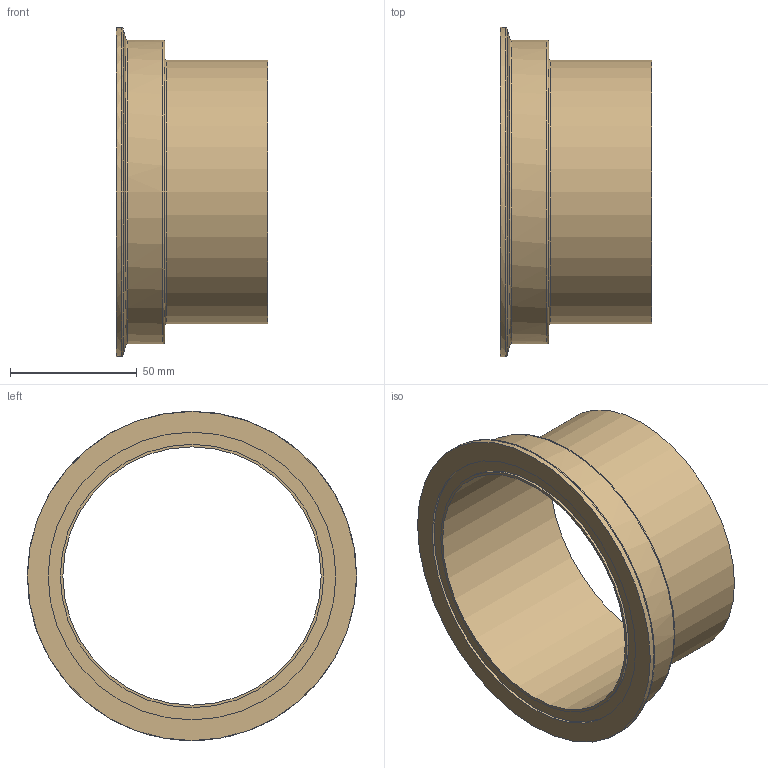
import cadquery as cq
import math

total_length = 60.0
flange_radius = 130.0 / 2
collar_radius = 120.0 / 2
tube_outer_radius = 104.0 / 2
tube_wall = 1.0
bore_radius = tube_outer_radius - tube_wall

rim_thickness = 2.65
collar_end = 19.2

taper_angle = 15.0
taper_length = (flange_radius - collar_radius) * math.tan(math.radians(taper_angle))
taper_end = rim_thickness + taper_length

edge_radius = 0.8
match_tolerance = 0.01

recess_radius = 113.6 / 2
recess_depth = 1.0


def make_body():
    """Flange with a tapered back, collar and tube, turned about the X axis."""
    profile = (
        cq.Workplane("XY")
        .moveTo(0, -bore_radius)
        .lineTo(0, -flange_radius)
        .lineTo(rim_thickness, -flange_radius)
        .lineTo(taper_end, -collar_radius)
        .lineTo(collar_end, -collar_radius)
        .lineTo(collar_end, -tube_outer_radius)
        .lineTo(total_length, -tube_outer_radius)
        .lineTo(total_length, -bore_radius)
        .close()
    )
    return profile.revolve(360, (0, 0, 0), (1, 0, 0))


def round_circular_edge(body, x, radius):
    """Round the circular edge of the given radius that lies at x."""
    def is_wanted(edge):
        same_place = math.isclose(edge.Center().x, x, abs_tol=match_tolerance)
        return same_place and math.isclose(edge.radius(), radius, abs_tol=match_tolerance)

    return body.edges("%CIRCLE").filter(is_wanted).fillet(edge_radius)


def make_recess():
    """Ring of material removed from the sealing face around the tube end."""
    return cq.Workplane("YZ").circle(recess_radius).circle(tube_outer_radius).extrude(recess_depth)


body = make_body()
rounded_edges = [
    (rim_thickness, flange_radius),
    (taper_end, collar_radius),
    (collar_end, collar_radius),
    (collar_end, tube_outer_radius),
]
for x, radius in rounded_edges:
    body = round_circular_edge(body, x, radius)

result = body.cut(make_recess())